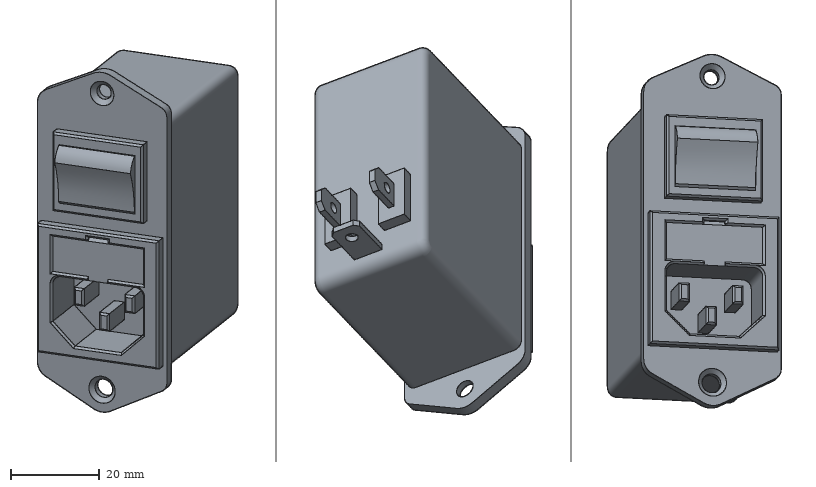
import cadquery as cq
import math


flange_width = 32.0
flange_height = 82.0
flange_thickness = 2.7
top_slope_angle = 25.5
top_tip_radius = 4.9
bottom_slope_angle = 27.5
bottom_tip_radius = 4.5
left_shoulder_radius = 3.8
right_shoulder_radius = 2.5
top_hole_z = 35.9
top_hole_diameter = 3.5
top_sink_diameter = 5.8
bottom_hole_z = -35.6
bottom_hole_diameter = 4.35
bottom_sink_diameter = 6.5
sink_angle = 90.0

case_width = 30.0
case_top = 30.4
case_bottom = -29.85
case_rear = 45.3
case_rear_radius = 3.0
case_side_radius = 2.05

bezel_height = 2.7
bezel_chamfer = 0.5
bezel_front = -bezel_height
switch_width = 22.3
switch_top = 25.8
switch_bottom = 6.8
inlet_width = case_width
inlet_top = 3.2
inlet_bottom = -27.8

rocker_width = 18.7
rocker_top = 23.1
rocker_bottom = 9.0
rocker_peak_z = 19.7
rocker_peak_y = -5.5
rocker_brow_y = -3.1
rocker_crown_z = 21.7
rocker_crown_y = -4.6
rocker_hollow_z = 15.0
rocker_hollow_y = -3.85
rocker_toe_z = 9.6
rocker_toe_y = -3.2

lip = 0.5
lip_angle = 45.0
opening_width = 23.4

drawer_top = 1.15
drawer_bottom = -8.4
tab_width = 4.9
notch_rise = 1.0
notch_depth = 1.3

socket_top = drawer_bottom
socket_corner_radius = 2.55
socket_shoulder_z = -20.1
socket_bottom = -25.6
socket_bottom_width = 11.8
socket_depth = 12.7
pin_width = 2.5
pin_height = 4.3
pin_chamfer = 0.5
pin_tip_y = 1.0
line_pin_x = 6.2
line_pin_z = -14.5
earth_pin_z = -19.7

blade_thickness = 1.5
side_blade_centers = (-7.8, 6.4)
side_blade_z = -13.9
side_blade_width = 6.5
side_blade_rear = 56.5
side_blade_chamfer = 1.6
side_blade_hole_diameter = 2.55
side_blade_hole_y = 51.1
block_width = 6.9
block_height = 13.45
block_rear = 48.05
earth_blade_z = -25.2
earth_blade_width = 7.3
earth_blade_rear = 56.2
earth_blade_chamfer = 1.1
earth_blade_hole_diameter = 2.9
earth_blade_hole_y = 52.5


def block(x_range, y_range, z_range):
    """Rectangular block between the given limits."""
    size = [high - low for low, high in (x_range, y_range, z_range)]
    corner = (x_range[0], y_range[0], z_range[0])
    return cq.Workplane("XY").box(*size, centered=False).translate(corner)


def centered_span(center, size):
    return (center - size / 2, center + size / 2)


def facing_plane(y):
    """Plane at depth y that faces +y: its local x is -X and its local y is Z."""
    return cq.Workplane(cq.Plane(origin=(0, y, 0), xDir=(-1, 0, 0), normal=(0, 1, 0)))


def end_apex(angle, tip_radius):
    """Height of the sharp apex whose rounded tip just reaches half the flange height."""
    return flange_height / 2 + tip_radius * (1 / math.cos(math.radians(angle)) - 1)


def make_flange():
    half_width = flange_width / 2
    top_apex = end_apex(top_slope_angle, top_tip_radius)
    bottom_apex = end_apex(bottom_slope_angle, bottom_tip_radius)
    top_shoulder = top_apex - half_width * math.tan(math.radians(top_slope_angle))
    bottom_shoulder = bottom_apex - half_width * math.tan(math.radians(bottom_slope_angle))
    rounded_corners = [
        (0, top_apex, top_tip_radius),
        (half_width, top_shoulder, right_shoulder_radius),
        (half_width, -bottom_shoulder, right_shoulder_radius),
        (0, -bottom_apex, bottom_tip_radius),
        (-half_width, -bottom_shoulder, left_shoulder_radius),
        (-half_width, top_shoulder, left_shoulder_radius),
    ]
    outline = [(-x, z) for x, z, radius in rounded_corners]
    flange = facing_plane(0).polyline(outline).close().extrude(flange_thickness)
    for x, z, radius in rounded_corners:
        corner = cq.NearestToPointSelector((x, flange_thickness / 2, z))
        flange = flange.edges("|Y").edges(corner).fillet(radius)
    return flange


def make_screw_hole(z, diameter, sink_diameter):
    """Countersunk through hole, as a solid to cut."""
    sink_depth = (sink_diameter - diameter) / 2 / math.tan(math.radians(sink_angle / 2))
    shank = facing_plane(0).center(0, z).circle(diameter / 2).extrude(flange_thickness)
    sink = (
        facing_plane(0).center(0, z).circle(sink_diameter / 2)
        .extrude(sink_depth, taper=sink_angle / 2)
    )
    return shank.union(sink)


def make_case():
    case = block((-case_width / 2, case_width / 2), (0, case_rear), (case_bottom, case_top))
    case = case.edges("|X and >Y").fillet(case_rear_radius)
    side_edges = case.faces("<X or >X").edges("not <Y")
    return side_edges.fillet(case_side_radius)


def make_bezel(width, bottom, top):
    bezel = block((-width / 2, width / 2), (bezel_front, 0), (bottom, top))
    return bezel.faces("<Y").chamfer(bezel_chamfer)


def make_rocker():
    return (
        cq.Workplane("YZ")
        .moveTo(0, rocker_top)
        .lineTo(rocker_brow_y, rocker_top)
        .threePointArc((rocker_crown_y, rocker_crown_z), (rocker_peak_y, rocker_peak_z))
        .threePointArc((rocker_hollow_y, rocker_hollow_z), (rocker_toe_y, rocker_toe_z))
        .lineTo(bezel_front, rocker_bottom)
        .lineTo(0, rocker_bottom)
        .close()
        .extrude(rocker_width / 2, both=True)
    )


def make_drawer_recess():
    """Shallow recess with sloped sides, finger notch and latch tab, as a solid to cut."""
    tab_span = centered_span(0, tab_width)
    recess_span = (bezel_front, bezel_front + lip)
    drawer_height = drawer_top - drawer_bottom
    recess = (
        facing_plane(bezel_front).center(0, (drawer_top + drawer_bottom) / 2)
        .rect(opening_width, drawer_height)
        .extrude(lip, taper=lip_angle)
    )
    tab = block(tab_span, recess_span, (socket_top - lip, drawer_bottom + lip))
    notch_top = drawer_top + notch_rise
    notch_bottom = drawer_top - lip
    notch_lip = (
        facing_plane(bezel_front).center(0, (notch_top + notch_bottom) / 2)
        .rect(tab_width + 2 * lip, notch_top - notch_bottom)
        .extrude(lip, taper=lip_angle)
    )
    ramp = (
        cq.Workplane("YZ")
        .moveTo(bezel_front, notch_bottom)
        .lineTo(bezel_front + lip, notch_bottom)
        .lineTo(bezel_front + notch_depth, notch_top - lip)
        .lineTo(bezel_front, notch_top - lip)
        .close()
        .extrude(tab_width / 2, both=True)
    )
    return recess.union(tab).union(notch_lip).union(ramp)


def socket_prism(inset, front, depth):
    """Prism over the six-sided inlet outline, moved inwards by inset, from front towards +y."""
    slope_run = (opening_width - socket_bottom_width) / 2
    slope_angle = math.atan2(socket_shoulder_z - socket_bottom, slope_run)
    half_width = opening_width / 2 - inset
    half_bottom = socket_bottom_width / 2 - inset * math.tan(slope_angle / 2)
    shoulder_z = socket_shoulder_z + inset * math.tan((math.pi / 2 - slope_angle) / 2)
    outline = [
        (-half_width, socket_top - inset),
        (half_width, socket_top - inset),
        (half_width, shoulder_z),
        (half_bottom, socket_bottom + inset),
        (-half_bottom, socket_bottom + inset),
        (-half_width, shoulder_z),
    ]
    prism = facing_plane(front).polyline(outline).close().extrude(depth)
    return prism.edges("|Y and >Z").fillet(socket_corner_radius - inset)


def make_socket():
    """Inlet cavity with a sloped lip, as a solid to cut."""
    cavity = socket_prism(lip, bezel_front, socket_depth)
    sloped_lip = socket_prism(0, bezel_front - lip, 2 * lip).faces(">Y").chamfer(lip)
    return cavity.union(sloped_lip)


def make_pin(x, z):
    pin = block(
        centered_span(x, pin_width),
        (pin_tip_y, bezel_front + socket_depth),
        centered_span(z, pin_height),
    )
    return pin.faces("<Y").chamfer(pin_chamfer)


def make_blade(width, root, rear, chamfer, hole_y, hole_diameter):
    """Flat blade terminal lying in the XY plane, centred on x = 0 and z = 0."""
    blade = block(centered_span(0, width), (root, rear), centered_span(0, blade_thickness))
    blade = blade.edges("|Z and >Y").chamfer(chamfer)
    hole = cq.Workplane("XY").center(0, hole_y).circle(hole_diameter / 2)
    return blade.cut(hole.extrude(blade_thickness, both=True))


result = make_flange().union(make_case())
result = result.union(make_bezel(switch_width, switch_bottom, switch_top))
result = result.union(make_bezel(inlet_width, inlet_bottom, inlet_top))
result = result.union(make_rocker())

result = result.cut(make_screw_hole(top_hole_z, top_hole_diameter, top_sink_diameter))
result = result.cut(make_screw_hole(bottom_hole_z, bottom_hole_diameter, bottom_sink_diameter))

result = result.cut(make_socket())
result = result.cut(make_drawer_recess())
for pin_x, pin_z in ((-line_pin_x, line_pin_z), (line_pin_x, line_pin_z), (0, earth_pin_z)):
    result = result.union(make_pin(pin_x, pin_z))

side_blade = make_blade(
    side_blade_width, case_rear, side_blade_rear, side_blade_chamfer,
    side_blade_hole_y, side_blade_hole_diameter,
).rotate((0, 0, 0), (0, 1, 0), 90)
for blade_x in side_blade_centers:
    base = block(
        centered_span(blade_x, block_width),
        (case_rear, block_rear),
        centered_span(side_blade_z, block_height),
    )
    result = result.union(base).union(side_blade.translate((blade_x, 0, side_blade_z)))

earth_blade = make_blade(
    earth_blade_width, case_rear, earth_blade_rear, earth_blade_chamfer,
    earth_blade_hole_y, earth_blade_hole_diameter,
)
result = result.union(earth_blade.translate((0, 0, earth_blade_z)))